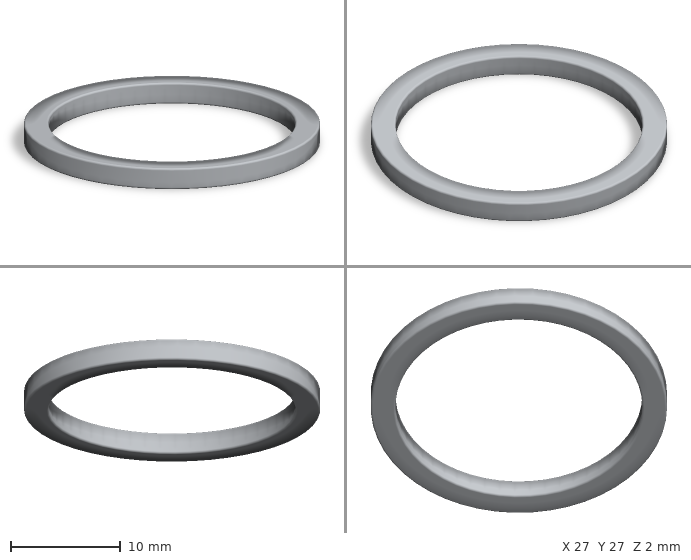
import cadquery as cq

outer_diameter = 27.0
inner_diameter = 22.5
height = 2.0
edge_radius = 0.2


def flat_ring():
    """Plain ring centred on the origin, mid-height at Z = 0."""
    return (
        cq.Workplane("XY")
        .workplane(offset=-height / 2)
        .circle(outer_diameter / 2)
        .circle(inner_diameter / 2)
        .extrude(height)
    )


def round_edges(ring):
    """Round the inner and outer rims of both flat faces."""
    return ring.faces("|Z").edges().fillet(edge_radius)


result = round_edges(flat_ring())